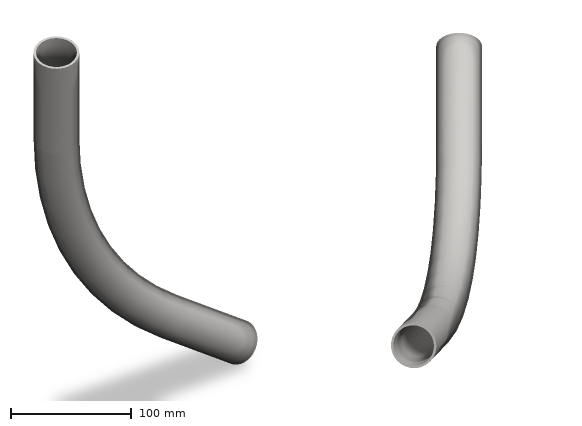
import cadquery as cq
import math

outer_diameter = 38.0
bore_diameter = 33.8
straight_length = 100.0
bend_radius = 385.0
bend_angle = 45.0


def bend_point(angle):
    """Centreline point (Y, Z) after turning by the angle from vertical."""
    turn = math.radians(angle)
    return bend_radius * (1 - math.cos(turn)), -bend_radius * math.sin(turn)


bend_end = bend_point(bend_angle)
slope = math.radians(bend_angle)
tail_end = (
    bend_end[0] + straight_length * math.sin(slope),
    bend_end[1] - straight_length * math.cos(slope),
)
centreline = (
    cq.Workplane("YZ")
    .moveTo(0, straight_length)
    .lineTo(0, 0)
    .threePointArc(bend_point(bend_angle / 2), bend_end)
    .lineTo(*tail_end)
)

result = (
    cq.Workplane("XY", origin=(0, 0, straight_length))
    .circle(outer_diameter / 2)
    .circle(bore_diameter / 2)
    .sweep(centreline)
)